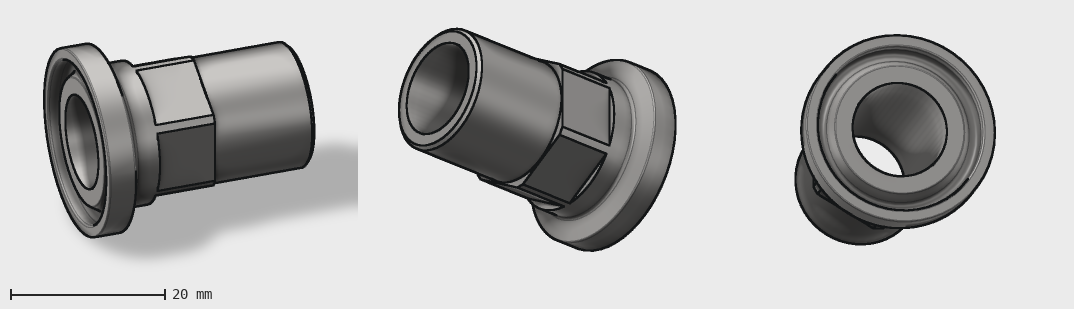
import cadquery as cq
import math

length = 30.0
bore_radius = 6.25
pipe_radius = 8.3
pipe_chamfer = 0.5
hex_across_flats = 17.0
hex_start = 8.0
hex_end = 16.0
collar_radius = 9.5

flange_radius = 25.0 / 2
face_edge_fillet = 0.15
back_edge_fillet = 0.2
neck_fillet = 0.48
cone_outer_y = 3.63
cone_angle = 20.0

groove_center_radius = 10.1
groove_round = 0.8
groove_center_depth = 1.6
groove_inner_slope = 33.0
groove_outer_fillet = 0.25
groove_inner_fillet = 0.15
seat_recess = 0.7

cone_slope = math.tan(math.radians(cone_angle))
cone_inner_y = cone_outer_y + (flange_radius - collar_radius) * cone_slope


def revolve_about_y(profile):
    return profile.close().revolve(360, (0, 0, 0), (0, 1, 0))


def edges_at(body, radius, y):
    """Circular edges of the given radius lying at height y along the axis."""
    box = cq.selectors.BoxSelector(
        (-radius - 0.03, y - 0.03, -radius - 0.03),
        (radius + 0.03, y + 0.03, radius + 0.03),
        boundingbox=True,
    )
    circles = body.edges("%CIRCLE").edges(box)
    return circles.filter(lambda edge: abs(edge.radius() - radius) < 0.01)


def make_flange_and_collar():
    body = revolve_about_y(
        cq.Workplane("XY")
        .lineTo(flange_radius, 0)
        .lineTo(flange_radius, cone_outer_y)
        .lineTo(collar_radius, cone_inner_y)
        .lineTo(collar_radius, hex_end)
        .lineTo(0, hex_end)
    )
    body = edges_at(body, flange_radius, 0).fillet(face_edge_fillet)
    body = edges_at(body, flange_radius, cone_outer_y).fillet(back_edge_fillet)
    return edges_at(body, collar_radius, cone_inner_y).fillet(neck_fillet)


def cut_hexagon(body):
    """Mill six flats, two of them facing +X and -X, leaving rounded corners."""
    flat_depth = collar_radius - hex_across_flats / 2
    cutter = cq.Workplane("XY").box(
        flat_depth, hex_end - hex_start, 2 * collar_radius, centered=(False, False, True)
    ).translate((hex_across_flats / 2, hex_start, 0))
    for index in range(6):
        body = body.cut(cutter.rotate((0, 0, 0), (0, 1, 0), 60 * index))
    return body


def make_pipe():
    pipe = cq.Workplane("XZ").circle(pipe_radius).extrude(-length)
    return pipe.faces(">Y").chamfer(pipe_chamfer)


def cut_seat_and_groove(body):
    """Recess the face around the bore and cut the deeper ring groove outside it."""
    slope = math.radians(groove_inner_slope)
    tangent_radius = groove_center_radius - groove_round * math.cos(slope)
    tangent_y = groove_center_depth + groove_round * math.sin(slope)
    inner_edge = tangent_radius - (tangent_y - seat_recess) * math.tan(slope)
    outer_edge = groove_center_radius + groove_round
    recess = revolve_about_y(
        cq.Workplane("XY")
        .lineTo(0, seat_recess)
        .lineTo(inner_edge, seat_recess)
        .lineTo(tangent_radius, tangent_y)
        .threePointArc(
            (groove_center_radius, groove_center_depth + groove_round),
            (outer_edge, groove_center_depth),
        )
        .lineTo(outer_edge, 0)
    )
    body = body.cut(recess)
    body = edges_at(body, outer_edge, 0).fillet(groove_outer_fillet)
    return edges_at(body, inner_edge, seat_recess).fillet(groove_inner_fillet)


bore = cq.Workplane("XZ").circle(bore_radius).extrude(-length)

result = cut_hexagon(make_flange_and_collar())
result = result.union(make_pipe())
result = cut_seat_and_groove(result).cut(bore)